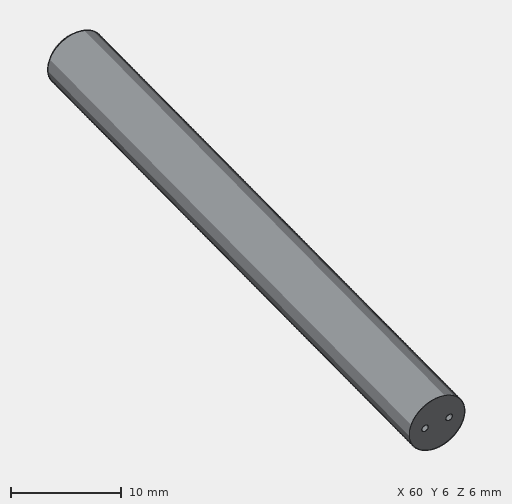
import cadquery as cq
import math

ROD_DIAMETER = 6.0
ROD_LENGTH = 60.0
END_CHAMFER = 0.3

CHANNEL_DIAMETER = 0.7
CHANNEL_CIRCLE_DIAMETER = 2.6
CHANNEL_START_ANGLE = 60.0
CHANNEL_COUNT = 2
HELIX_ANGLE = 30.0

FULL_TURN = 360.0
HELIX_PITCH = math.pi * ROD_DIAMETER / math.tan(math.radians(HELIX_ANGLE))
CHANNEL_TWIST = FULL_TURN * ROD_LENGTH / HELIX_PITCH


def make_rod():
    """Solid cylinder on the X axis, chamfered at its -X end only."""
    rod = cq.Workplane("YZ").circle(ROD_DIAMETER / 2).extrude(ROD_LENGTH)
    return rod.faces("<X").chamfer(END_CHAMFER)


def make_channel(start_angle):
    """Channel that twists about the rod axis from one end face to the other."""
    centre_radius = CHANNEL_CIRCLE_DIAMETER / 2
    y = centre_radius * math.cos(math.radians(start_angle))
    z = centre_radius * math.sin(math.radians(start_angle))
    section = cq.Workplane("YZ").pushPoints([(y, z)]).circle(CHANNEL_DIAMETER / 2)
    return section.twistExtrude(ROD_LENGTH, CHANNEL_TWIST)


result = make_rod()
for index in range(CHANNEL_COUNT):
    angle = CHANNEL_START_ANGLE + index * FULL_TURN / CHANNEL_COUNT
    result = result.cut(make_channel(angle))